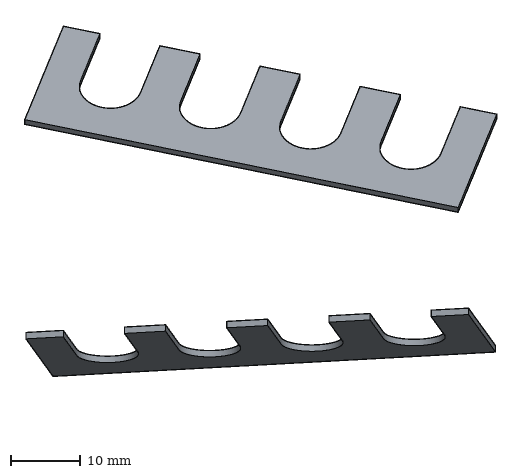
import cadquery as cq

length = 65.0
width = 20.0
thickness = 1.0
slot_count = 4
slot_pitch = 15.0
slot_width = 9.0
slot_depth = 14.5

slot_radius = slot_width / 2
back_edge = width / 2
round_center_y = back_edge - slot_depth + slot_radius
slot_positions = [(i - (slot_count - 1) / 2) * slot_pitch for i in range(slot_count)]


def slot_cutter(center_x):
    """U-shaped cutter running from the back edge to its rounded end."""
    left = center_x - slot_radius
    right = center_x + slot_radius
    return (
        cq.Workplane("XY")
        .moveTo(left, back_edge)
        .lineTo(left, round_center_y)
        .threePointArc((center_x, round_center_y - slot_radius), (right, round_center_y))
        .lineTo(right, back_edge)
        .close()
        .extrude(thickness / 2, both=True)
    )


result = cq.Workplane("XY").box(length, width, thickness)

for slot_x in slot_positions:
    result = result.cut(slot_cutter(slot_x))